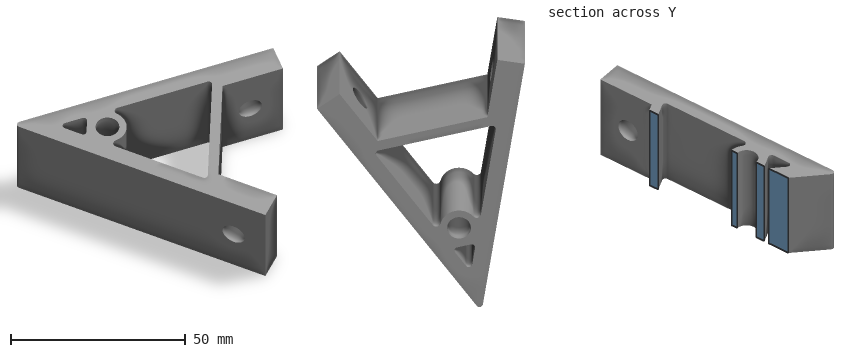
import cadquery as cq
import math

arm_angle = 45.0
half_angle = math.radians(arm_angle / 2)
arm_length = 80.0
arm_thickness = 8.0
height = 28.0
apex_radius = 1.0

wall_thickness = 5.0
web_outer_distance = 59.9
web_thickness = 3.0
small_window_distance = 21.6
window_radius = 1.0
notch_radius = 1.2

bore_distance = 27.53
bore_diameter = 6.8
boss_radius = 5.5

arm_hole_diameter = 7.0
arm_hole_inset = 10.0


def on_bisector(distance):
    """Point on the bisector of the two arms."""
    return (distance * math.cos(half_angle), distance * math.sin(half_angle))


def wedge(offset, far_distance):
    """Isosceles prism between lines offset inward from the arm faces, closed across the bisector."""
    apex_distance = offset / math.sin(half_angle)
    half_width = (far_distance - apex_distance) * math.tan(half_angle)
    prism = (
        cq.Workplane("XY")
        .moveTo(apex_distance, 0)
        .lineTo(far_distance, half_width)
        .lineTo(far_distance, -half_width)
        .close()
        .extrude(height)
    )
    return prism.rotate((0, 0, 0), (0, 0, 1), arm_angle / 2)


def bore():
    return (
        cq.Workplane("XY")
        .center(*on_bisector(bore_distance))
        .circle(bore_diameter / 2)
        .extrude(height)
    )


def lower_arm():
    """Arm along X, cut back at the apex so that it stays inside the 45 degree corner."""
    return (
        cq.Workplane("XY")
        .moveTo(0, 0)
        .lineTo(arm_length, 0)
        .lineTo(arm_length, arm_thickness)
        .lineTo(arm_thickness / math.tan(math.radians(arm_angle)), arm_thickness)
        .close()
        .extrude(height)
    )


def lower_arm_hole():
    """Hole square to the outer face of the lower arm, at mid height."""
    return (
        cq.Workplane("XZ")
        .center(arm_length - arm_hole_inset, height / 2)
        .circle(arm_hole_diameter / 2)
        .extrude(-arm_thickness)
    )


def mirrored_arm(shape):
    """Carry a feature of the lower arm over to the slanted arm across the bisector."""
    return shape.mirror("XZ").rotate((0, 0, 0), (0, 0, 1), arm_angle)


def small_window():
    return wedge(wall_thickness, small_window_distance).edges("|Z").fillet(window_radius)


def large_window():
    """Window from the boss to the web, with a round notch between the boss and each arm wall."""
    tip = wall_thickness / math.sin(half_angle)
    far = web_outer_distance - web_thickness
    far_half_width = (far - tip) * math.tan(half_angle)

    boss_to_notch = boss_radius + notch_radius
    wall_gap = bore_distance * math.sin(half_angle) - wall_thickness - notch_radius
    notch_angle = -half_angle - math.asin(wall_gap / boss_to_notch)
    notch_x = bore_distance + boss_to_notch * math.cos(notch_angle)
    notch_y = boss_to_notch * math.sin(notch_angle)

    def on_notch(angle):
        return (notch_x + notch_radius * math.cos(angle), notch_y + notch_radius * math.sin(angle))

    to_boss = notch_angle + math.pi
    to_wall = math.radians(270) - half_angle
    boss_end = on_notch(to_boss)
    notch_middle = on_notch((to_boss + to_wall) / 2)
    wall_start = on_notch(to_wall)

    def mirrored(point):
        return (point[0], -point[1])

    window = (
        cq.Workplane("XY")
        .moveTo(*mirrored(boss_end))
        .threePointArc((bore_distance + boss_radius, 0), boss_end)
        .threePointArc(notch_middle, wall_start)
        .lineTo(far, -far_half_width)
        .lineTo(far, far_half_width)
        .lineTo(*mirrored(wall_start))
        .threePointArc(mirrored(notch_middle), mirrored(boss_end))
        .close()
        .extrude(height)
        .edges("|Z and >X")
        .fillet(window_radius)
    )
    return window.rotate((0, 0, 0), (0, 0, 1), arm_angle / 2)


body = wedge(0, web_outer_distance)
for arm in (lower_arm(), mirrored_arm(lower_arm())):
    body = body.union(arm)
body = body.edges("|Z and <X").fillet(apex_radius)

for cutter in (
    small_window(),
    large_window(),
    bore(),
    lower_arm_hole(),
    mirrored_arm(lower_arm_hole()),
):
    body = body.cut(cutter)

result = body